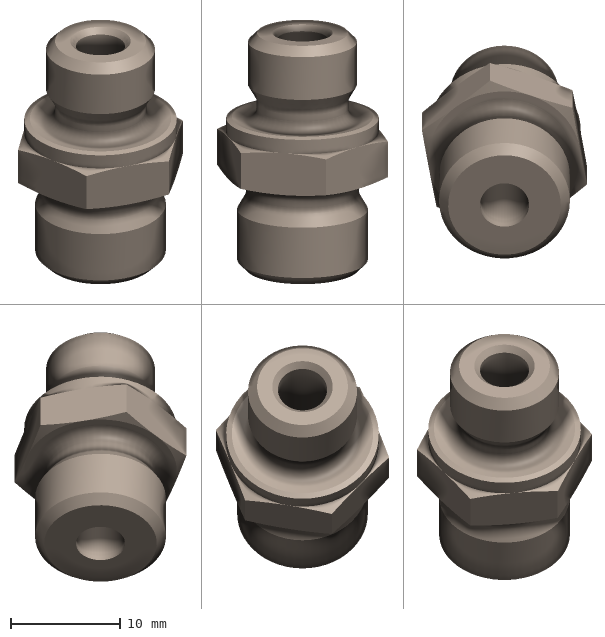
import cadquery as cq
import math

total_height = 22.5
hex_bottom = 9.0
hex_top = 13.0
collar_top = 14.5

across_flats = 14.0
corner_radius = across_flats / math.sqrt(3)
collar_radius = across_flats / 2
collar_rim_radius = 6.48
bevel_overrun = 0.22
bevel_slope = math.tan(math.radians(15))

upper_end_radius = 10.0 / 2
upper_neck_radius = 8.4 / 2
upper_shoulder = 17.57
lower_end_radius = 12.0 / 2
lower_neck_radius = 10.4 / 2
lower_shoulder = 5.65
end_chamfer = 0.83
fillet_radius = 1.0
shoulder_angle = math.radians(30)

recess_angle = math.radians(10)

bore_diameter = 4.5
bore_chamfer = 0.52
bore_chamfer_angle = 90


def fillet_point(center, angle):
    """Point (r, z) on the fillet circle; angle is taken from the +r direction."""
    return (
        center[0] + fillet_radius * math.cos(angle),
        center[1] + fillet_radius * math.sin(angle),
    )


def add_fillet(profile, center, start_angle, end_angle):
    """Draw to the start of a fillet and follow its arc to the end."""
    middle_angle = (start_angle + end_angle) / 2
    return profile.lineTo(*fillet_point(center, start_angle)).threePointArc(
        fillet_point(center, middle_angle), fillet_point(center, end_angle)
    )


def neck_tangent_offset(end_radius, neck_radius):
    """Height from a thread shoulder to the start of the cylindrical neck."""
    arc_step = fillet_radius * (1 - math.cos(shoulder_angle))
    cone_height = (end_radius - neck_radius - arc_step) / math.tan(shoulder_angle)
    return cone_height + fillet_radius * math.sin(shoulder_angle)


def revolve_profile(profile):
    return profile.close().revolve(360, (0, 0, 0), (0, 1, 0))


def make_lower_end():
    center_r = lower_neck_radius + fillet_radius
    neck_start = lower_shoulder + neck_tangent_offset(lower_end_radius, lower_neck_radius)
    profile = (
        cq.Workplane("XZ")
        .lineTo(lower_end_radius - end_chamfer, 0)
        .lineTo(lower_end_radius, end_chamfer)
        .lineTo(lower_end_radius, lower_shoulder)
    )
    profile = add_fillet(profile, (center_r, neck_start), math.pi + shoulder_angle, math.pi)
    profile = add_fillet(profile, (center_r, hex_bottom - fillet_radius), math.pi, math.pi / 2)
    return revolve_profile(profile.lineTo(0, hex_bottom))


def make_collar_and_upper_end():
    center_r = upper_neck_radius + fillet_radius
    neck_end = upper_shoulder - neck_tangent_offset(upper_end_radius, upper_neck_radius)

    recess_tangent_r = center_r + fillet_radius * math.sin(recess_angle)
    recess_tangent_z = collar_top - (collar_rim_radius - recess_tangent_r) * math.tan(recess_angle)
    collar_fillet_z = recess_tangent_z + fillet_radius * math.cos(recess_angle)
    rim_drop = (collar_radius - collar_rim_radius) * bevel_slope

    profile = (
        cq.Workplane("XZ")
        .moveTo(0, hex_top)
        .lineTo(collar_radius, hex_top)
        .lineTo(collar_radius, collar_top - rim_drop)
        .lineTo(collar_rim_radius, collar_top)
    )
    profile = add_fillet(profile, (center_r, collar_fillet_z), 1.5 * math.pi + recess_angle, math.pi)
    profile = add_fillet(profile, (center_r, neck_end), math.pi, math.pi - shoulder_angle)
    profile = (
        profile.lineTo(upper_end_radius, upper_shoulder)
        .lineTo(upper_end_radius, total_height - end_chamfer)
        .lineTo(upper_end_radius - end_chamfer, total_height)
        .lineTo(0, total_height)
    )
    return revolve_profile(profile)


def make_hexagon():
    """Hexagon with corners on the Y axis, bevelled at both ends."""
    prism = (
        cq.Workplane("XY", origin=(0, 0, hex_bottom))
        .polygon(6, 2 * corner_radius)
        .extrude(hex_top - hex_bottom)
        .rotate((0, 0, 0), (0, 0, 1), 30)
    )
    envelope_radius = corner_radius + bevel_overrun
    bevel_drop = (envelope_radius - collar_radius) * bevel_slope
    envelope = revolve_profile(
        cq.Workplane("XZ")
        .moveTo(0, hex_bottom)
        .lineTo(collar_radius, hex_bottom)
        .lineTo(envelope_radius, hex_bottom + bevel_drop)
        .lineTo(envelope_radius, hex_top - bevel_drop)
        .lineTo(collar_radius, hex_top)
        .lineTo(0, hex_top)
    )
    return prism.intersect(envelope)


body = make_lower_end().union(make_hexagon()).union(make_collar_and_upper_end())

mouth_diameter = bore_diameter + 2 * bore_chamfer
result = body.faces(">Z").workplane().cskHole(bore_diameter, mouth_diameter, bore_chamfer_angle)